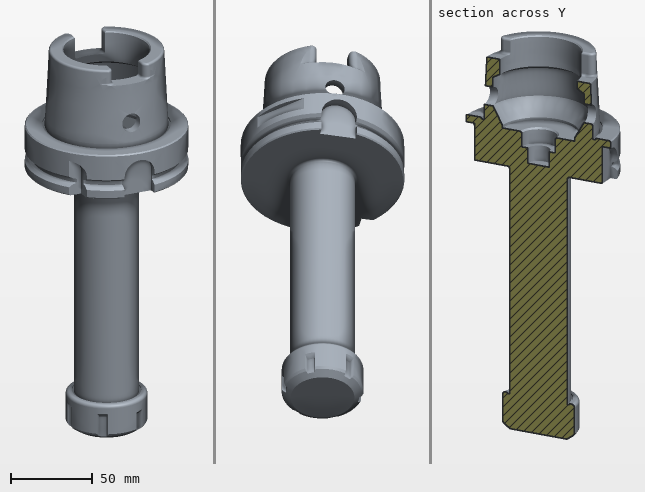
import cadquery as cq
import math


SHANK_HEIGHT = 50.0
SHANK_TOP_RADIUS = 35.2
SHANK_BASE_RADIUS = 37.8
SHANK_BASE_BAND = 2.2
RIM_ROUND = 1.5

RELIEF_OUTER_RADIUS = 39.2
RELIEF_DEPTH = 1.0

MOUTH_RADIUS = 26.5
MOUTH_CHAMFER = 0.8
LIP_Z = 30.0
CAVITY_RADIUS = 31.5
CAVITY_FLARE_ANGLE = 30.0
CAVITY_FUNNEL_Z = 9.0
CAVITY_FUNNEL_ANGLE = 60.0
SEAT_RADIUS = 24.8
SEAT_DEPTH = 1.8
COOLANT_RADIUS = 11.5
COOLANT_CHAMFER = 1.0
COOLANT_DEPTH = 10.0
COOLANT_BORE_RADIUS = 7.2
COOLANT_BORE_DEPTH = 10.0

NOTCH_WIDTH = 20.0
NOTCH_CORNER_RADIUS = 3.5
NOTCH_RUN_OUT_RADIUS = 35.5
NOTCH_FLOOR_FILLET = 1.5
LEFT_NOTCH_FLOOR_Z = 35.0
RIGHT_NOTCH_FLOOR_Z = 40.0

CROSS_HOLE_RADIUS = 6.0
CROSS_HOLE_Z = 14.8

FLANGE_RADIUS = 50.0
FLANGE_THICKNESS = 29.0
FLANGE_CHAMFER = 0.8
GROOVE_FLOOR_RADIUS = 46.0
GROOVE_Z = -20.0
GROOVE_FLOOR_HALF_WIDTH = 1.2
GROOVE_KNEE_RADIUS = 48.0
GROOVE_KNEE_HALF_WIDTH = 2.0
GROOVE_MOUTH_HALF_WIDTH = 3.5

LEFT_KEYWAY_WIDTH = 22.0
RIGHT_KEYWAY_WIDTH = 20.0
KEYWAY_FLOOR = 44.0
KEYWAY_TOP_Z = -5.0

INDEX_WALL = 31.0
INDEX_RADIUS = 8.5
INDEX_TOP_Z = -6.0
FLAT_DISTANCE = 47.0
FLAT_TOP_Z = -3.8
FLAT_HEIGHT = 8.2
FLAT_ANGLE = 135.0

NECK_RADIUS = 20.0
NECK_FILLET = 1.5

TOTAL_LENGTH = 250.0
NUT_BOTTOM_Z = SHANK_HEIGHT - TOTAL_LENGTH
NUT_RADIUS = 25.0
NUT_HEIGHT = 23.8
NUT_TOP_ROUND = 2.2
NUT_EDGE_Z = 4.5
NUT_CONE_RADIUS = 24.0
NUT_CONE_Z = 3.0
NUT_FACE_RADIUS = 19.5
NUT_BORE_RADIUS = 21.2
NUT_RECESS_DEPTH = 0.8

SLOT_COUNT = 6
SLOT_START_ANGLE = 30
SLOT_FLOOR = 22.5
SLOT_FLOOR_WIDTH = 4.5
SLOT_MOUTH_WIDTH = 6.8
SLOT_CEILING_RISE = 2.8
FRONT_SLOT_HEIGHT = 18.0
BACK_SLOT_HEIGHT = 15.8


def cylinder(radius, bottom_z, height):
    return cq.Workplane("XY").workplane(offset=bottom_z).circle(radius).extrude(height)


def turned(points):
    return cq.Workplane("XZ").polyline(points).close().revolve(360, (0, 0), (0, 1))


def make_shank():
    """Hollow taper shank with its drive notches; the rim is rounded along its outside and the notches."""
    shank = turned([
        (0, 0),
        (SHANK_BASE_RADIUS, 0),
        (SHANK_BASE_RADIUS, SHANK_BASE_BAND),
        (SHANK_TOP_RADIUS, SHANK_HEIGHT),
        (0, SHANK_HEIGHT),
    ])
    shank = shank.cut(drive_notch(-1, LEFT_NOTCH_FLOOR_Z)).cut(drive_notch(1, RIGHT_NOTCH_FLOOR_Z))
    return shank.faces(">Z").edges().fillet(RIM_ROUND).cut(make_cavity())


def make_flange():
    bottom = -FLANGE_THICKNESS
    rim = FLANGE_RADIUS - FLANGE_CHAMFER
    flange = turned([
        (0, 0),
        (rim, 0),
        (FLANGE_RADIUS, -FLANGE_CHAMFER),
        (FLANGE_RADIUS, GROOVE_Z + GROOVE_MOUTH_HALF_WIDTH),
        (GROOVE_KNEE_RADIUS, GROOVE_Z + GROOVE_KNEE_HALF_WIDTH),
        (GROOVE_FLOOR_RADIUS, GROOVE_Z + GROOVE_FLOOR_HALF_WIDTH),
        (GROOVE_FLOOR_RADIUS, GROOVE_Z - GROOVE_FLOOR_HALF_WIDTH),
        (GROOVE_KNEE_RADIUS, GROOVE_Z - GROOVE_KNEE_HALF_WIDTH),
        (FLANGE_RADIUS, GROOVE_Z - GROOVE_MOUTH_HALF_WIDTH),
        (FLANGE_RADIUS, bottom + FLANGE_CHAMFER),
        (rim, bottom),
        (0, bottom),
    ])
    relief = cylinder(RELIEF_OUTER_RADIUS, -RELIEF_DEPTH, RELIEF_DEPTH)
    relief = relief.cut(cylinder(SHANK_BASE_RADIUS, -RELIEF_DEPTH, RELIEF_DEPTH))
    return flange.cut(relief)


def make_neck():
    top = -FLANGE_THICKNESS
    return (
        cq.Workplane("XZ")
        .moveTo(0, top)
        .lineTo(NECK_RADIUS + NECK_FILLET, top)
        .radiusArc((NECK_RADIUS, top - NECK_FILLET), -NECK_FILLET)
        .lineTo(NECK_RADIUS, NUT_BOTTOM_Z + NUT_CONE_Z)
        .lineTo(0, NUT_BOTTOM_Z + NUT_CONE_Z)
        .close()
        .revolve(360, (0, 0), (0, 1))
    )


def spanner_slot(height):
    """Tapered slot on the +X side of the nut, open at the bottom, with a ceiling rising outwards."""
    depth = NUT_RADIUS - SLOT_FLOOR
    overshoot = 2 * depth
    taper = (SLOT_MOUTH_WIDTH - SLOT_FLOOR_WIDTH) / 2 / depth
    mouth_half = SLOT_FLOOR_WIDTH / 2 + taper * overshoot
    outer_x = SLOT_FLOOR + overshoot
    plan = (
        cq.Workplane("XY")
        .workplane(offset=NUT_BOTTOM_Z)
        .polyline([
            (SLOT_FLOOR, -SLOT_FLOOR_WIDTH / 2),
            (outer_x, -mouth_half),
            (outer_x, mouth_half),
            (SLOT_FLOOR, SLOT_FLOOR_WIDTH / 2),
        ])
        .close()
        .extrude(NUT_HEIGHT)
    )
    rise = SLOT_CEILING_RISE / depth * overshoot
    floor_top = NUT_BOTTOM_Z + height - SLOT_CEILING_RISE
    side = (
        cq.Workplane("XZ")
        .polyline([
            (SLOT_FLOOR, NUT_BOTTOM_Z),
            (outer_x, NUT_BOTTOM_Z),
            (outer_x, floor_top + rise),
            (SLOT_FLOOR, floor_top),
        ])
        .close()
        .extrude(mouth_half, both=True)
    )
    return plan.intersect(side)


def make_nut():
    top = NUT_BOTTOM_Z + NUT_HEIGHT
    nut = (
        cq.Workplane("XZ")
        .moveTo(0, NUT_BOTTOM_Z)
        .lineTo(NUT_FACE_RADIUS, NUT_BOTTOM_Z)
        .lineTo(NUT_CONE_RADIUS, NUT_BOTTOM_Z + NUT_CONE_Z)
        .lineTo(NUT_RADIUS, NUT_BOTTOM_Z + NUT_EDGE_Z)
        .lineTo(NUT_RADIUS, top - NUT_TOP_ROUND)
        .radiusArc((NUT_RADIUS - NUT_TOP_ROUND, top), -NUT_TOP_ROUND)
        .lineTo(NUT_BORE_RADIUS, top)
        .lineTo(NUT_BORE_RADIUS, top - NUT_RECESS_DEPTH)
        .lineTo(0, top - NUT_RECESS_DEPTH)
        .close()
        .revolve(360, (0, 0), (0, 1))
    )
    for index in range(SLOT_COUNT):
        angle = SLOT_START_ANGLE + index * 360 / SLOT_COUNT
        height = BACK_SLOT_HEIGHT if angle < 180 else FRONT_SLOT_HEIGHT
        nut = nut.cut(spanner_slot(height).rotate((0, 0, 0), (0, 0, 1), angle))
    return nut


def make_cavity():
    """Clamping cavity with a lip at the mouth, and the stepped coolant hole in its floor."""
    flare_height = (CAVITY_RADIUS - MOUTH_RADIUS) * math.tan(math.radians(CAVITY_FLARE_ANGLE))
    funnel_height = (CAVITY_RADIUS - SEAT_RADIUS) * math.tan(math.radians(CAVITY_FUNNEL_ANGLE))
    seat_z = CAVITY_FUNNEL_Z - funnel_height - SEAT_DEPTH
    coolant_z = seat_z - COOLANT_DEPTH
    bore_z = coolant_z - COOLANT_BORE_DEPTH
    return turned([
        (0, SHANK_HEIGHT),
        (MOUTH_RADIUS + MOUTH_CHAMFER, SHANK_HEIGHT),
        (MOUTH_RADIUS, SHANK_HEIGHT - MOUTH_CHAMFER),
        (MOUTH_RADIUS, LIP_Z),
        (CAVITY_RADIUS, LIP_Z - flare_height),
        (CAVITY_RADIUS, CAVITY_FUNNEL_Z),
        (SEAT_RADIUS, CAVITY_FUNNEL_Z - funnel_height),
        (SEAT_RADIUS, seat_z),
        (COOLANT_RADIUS + COOLANT_CHAMFER, seat_z),
        (COOLANT_RADIUS, seat_z - COOLANT_CHAMFER),
        (COOLANT_RADIUS, coolant_z),
        (COOLANT_BORE_RADIUS, coolant_z),
        (COOLANT_BORE_RADIUS, bore_z),
        (0, bore_z),
    ])


def drive_notch(side, floor_z):
    """Radial notch through the shank rim; side is -1 for -X and 1 for +X.

    Its walls flare in arcs that end almost tangent to the shank, and fillets join them to the floor.
    """
    half_width = NOTCH_WIDTH / 2
    radius = NOTCH_CORNER_RADIUS
    arc_y = half_width + radius
    arc_x = math.sqrt((NOTCH_RUN_OUT_RADIUS - radius) ** 2 - arc_y ** 2)
    run_out = math.atan2(arc_y, arc_x)
    middle = (run_out - math.pi / 2) / 2
    end_x = arc_x + radius * math.cos(run_out)
    end_y = arc_y + radius * math.sin(run_out)
    reach = FLANGE_RADIUS
    tip_x = end_x - (reach - end_y) * math.tan(run_out)
    mid_x = arc_x + radius * math.cos(middle)
    mid_y = arc_y + radius * math.sin(middle)
    notch = (
        cq.Workplane("XY")
        .workplane(offset=floor_z)
        .moveTo(0, -half_width)
        .lineTo(arc_x, -half_width)
        .threePointArc((mid_x, -mid_y), (end_x, -end_y))
        .lineTo(tip_x, -reach)
        .lineTo(reach, -reach)
        .lineTo(reach, reach)
        .lineTo(tip_x, reach)
        .lineTo(end_x, end_y)
        .threePointArc((mid_x, mid_y), (arc_x, half_width))
        .lineTo(0, half_width)
        .close()
        .extrude(SHANK_HEIGHT)
        .faces("<Z")
        .edges()
        .fillet(NOTCH_FLOOR_FILLET)
    )
    return notch.rotate((0, 0, 0), (0, 0, 1), 0 if side > 0 else 180)


def keyway(side, width):
    """Keyway open at the flange's lower face; its upper end is a half round."""
    radius = width / 2
    arc_z = KEYWAY_TOP_Z - radius
    return (
        cq.Workplane("YZ")
        .workplane(offset=side * KEYWAY_FLOOR)
        .moveTo(-radius, -FLANGE_THICKNESS)
        .lineTo(-radius, arc_z)
        .threePointArc((0, KEYWAY_TOP_Z), (radius, arc_z))
        .lineTo(radius, -FLANGE_THICKNESS)
        .close()
        .extrude(side * FLANGE_RADIUS)
    )


def index_notch():
    """Right-angled notch at the +X -Y edge of the flange with a rounded upper end."""
    inner_y = -INDEX_WALL
    outer_y = inner_y - 2 * INDEX_RADIUS
    arc_z = INDEX_TOP_Z - INDEX_RADIUS
    return (
        cq.Workplane("YZ")
        .workplane(offset=INDEX_WALL)
        .moveTo(inner_y, -FLANGE_THICKNESS)
        .lineTo(inner_y, arc_z)
        .threePointArc((inner_y - INDEX_RADIUS, INDEX_TOP_Z), (outer_y, arc_z))
        .lineTo(outer_y, -FLANGE_THICKNESS)
        .close()
        .extrude(FLANGE_RADIUS)
    )


def edge_flat():
    return (
        cq.Workplane("XY")
        .box(FLANGE_RADIUS, 2 * FLANGE_RADIUS, FLAT_HEIGHT, centered=(False, True, False))
        .translate((FLAT_DISTANCE, 0, FLAT_TOP_Z - FLAT_HEIGHT))
        .rotate((0, 0, 0), (0, 0, 1), FLAT_ANGLE)
    )


def cross_hole():
    return (
        cq.Workplane("YZ")
        .center(0, CROSS_HOLE_Z)
        .circle(CROSS_HOLE_RADIUS)
        .extrude(FLANGE_RADIUS, both=True)
    )


flange = (
    make_flange()
    .cut(keyway(-1, LEFT_KEYWAY_WIDTH))
    .cut(keyway(1, RIGHT_KEYWAY_WIDTH))
    .cut(index_notch())
    .cut(edge_flat())
)
body = flange.cut(make_cavity()).union(make_shank()).cut(cross_hole())
result = body.union(make_neck()).union(make_nut())